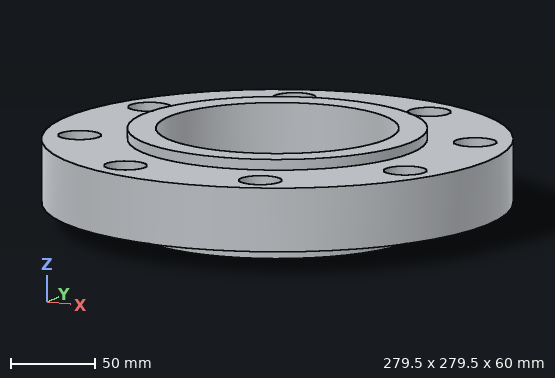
import cadquery as cq

flange_diameter = 279.5
flange_thickness = 38.5

collar_diameter = 177.7
total_height = 60.0
raised_face_height = 6.5
hub_height = total_height - flange_thickness - raised_face_height

bore_diameter = 144.0

bolt_count = 8
bolt_circle_diameter = 235.0
bolt_hole_diameter = 25.5
bolt_spacing_angle = 360 / bolt_count
first_bolt_angle = bolt_spacing_angle / 2


def disc(diameter, bottom, height):
    """Solid disc centred on the Z axis, starting at the given level."""
    return cq.Workplane("XY").workplane(offset=bottom).circle(diameter / 2).extrude(height)


def bolt_holes():
    """Cutters for the ring of through holes in the flange."""
    return (
        cq.Workplane("XY")
        .workplane(offset=hub_height)
        .polarArray(bolt_circle_diameter / 2, first_bolt_angle, 360, bolt_count)
        .circle(bolt_hole_diameter / 2)
        .extrude(flange_thickness)
    )


collar = disc(collar_diameter, 0, total_height)
flange = disc(flange_diameter, hub_height, flange_thickness)
bore = disc(bore_diameter, 0, total_height)

result = flange.union(collar).cut(bore).cut(bolt_holes())